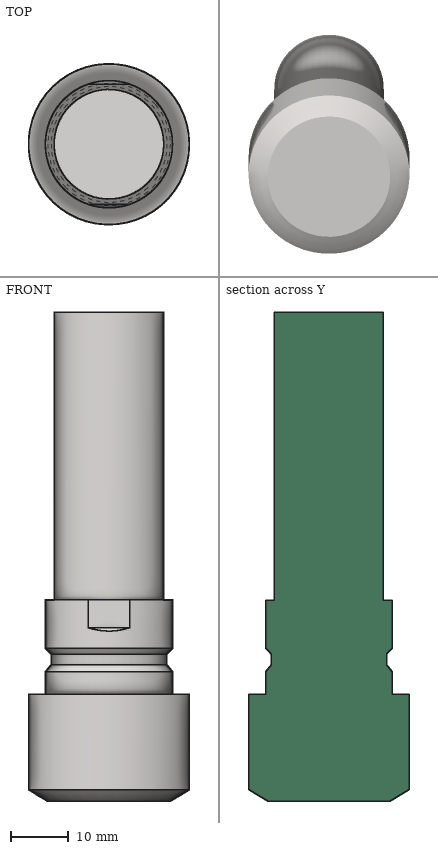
import cadquery as cq

total_length = 85.1
head_top = 18.6
collar_top = 35.1

head_diameter = 28.0
bottom_diameter = 21.3
collar_diameter = 22.1
groove_diameter = 20.2
shank_diameter = 19.1

chamfer_height = 2.0
groove_bottom = 22.55
groove_floor_bottom = 23.75
groove_floor_top = 25.6
groove_top = 26.6

flat_spacing = 20.9
flat_bottom = 30.2


def turned_body():
    """Revolve the stepped half profile about the Z axis."""
    head_radius = head_diameter / 2
    collar_radius = collar_diameter / 2
    groove_radius = groove_diameter / 2
    shank_radius = shank_diameter / 2
    profile = [
        (0, 0),
        (bottom_diameter / 2, 0),
        (head_radius, chamfer_height),
        (head_radius, head_top),
        (collar_radius, head_top),
        (collar_radius, groove_bottom),
        (groove_radius, groove_floor_bottom),
        (groove_radius, groove_floor_top),
        (collar_radius, groove_top),
        (collar_radius, collar_top),
        (shank_radius, collar_top),
        (shank_radius, total_length),
        (0, total_length),
    ]
    return cq.Workplane("XZ").polyline(profile).close().revolve(360, (0, 0), (0, 1))


def flat_cutter(side):
    """Prism that cuts one flat; side is -1 or +1 along Y."""
    inner = flat_spacing / 2
    outer = collar_diameter / 2
    ramp_drop = outer - inner
    outline = [
        (side * inner, collar_top),
        (side * inner, flat_bottom),
        (side * outer, flat_bottom - ramp_drop),
        (side * outer, collar_top),
    ]
    return cq.Workplane("YZ").polyline(outline).close().extrude(collar_diameter / 2, both=True)


result = turned_body()
for side in (-1, 1):
    result = result.cut(flat_cutter(side))